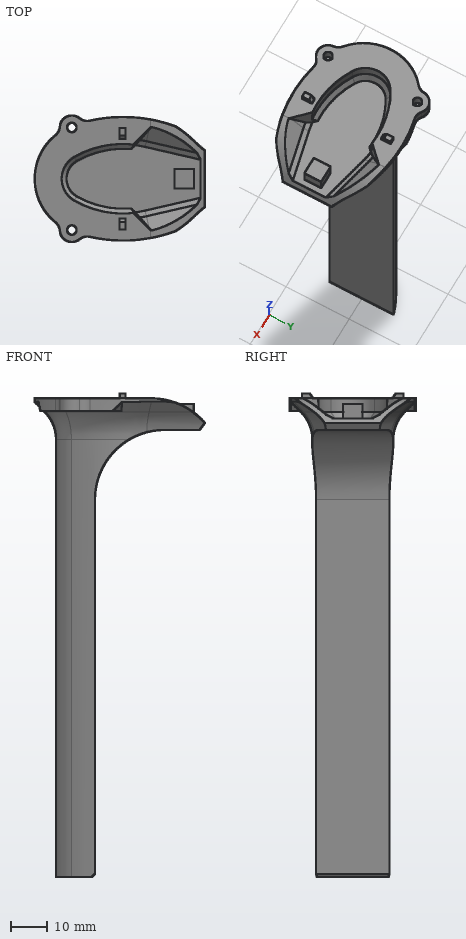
import cadquery as cq
import math

spout_tip_x = 47.0
far = 80.0
outline_end_x = 53.4

crown_x = 24.4

column_nose_x = 5.9
column_nose_radius = 8.5
column_crown_half_width = 11.2
column_taper_angle = 13.0
column_back_x = 16.7
stem_edge_chamfer = 1.0

flange_top_z = 132.0
flange_bottom_z = 128.5
flange_nose_radius = 15.5
flange_crown_half_width = 17.1
flange_taper_angle = 20.0

ear_x = 10.3
ear_y = 14.1
ear_radius = 3.3
ear_neck_radius = 3.3
screw_hole_diameter = 2.5

flare_start_z = 120.7
flare_radius = 10.7
flare_end_z = 128.2
flare_slab_thickness = 1.3

throat_centre_x = 35.8
throat_radius = throat_centre_x - column_back_x
spout_bottom_z = 123.3
spout_lip_x = 45.5
brow_start_x = 32.0
brow_radius = 19.7

basin_floor_z = 126.5
basin_wall = 1.6
basin_chamfer_width = 1.3
basin_chamfer_top_z = 128.2
spout_floor_inset = 1.7
spout_bevel_inset = 0.1
spout_bevel_z = 127.4
spout_rim_offset = 4.0

nose_window_apex_x = 3.9
nose_window_slope = 3.0
nose_window_lean = -0.4
side_window_corner_x = 21.3
side_window_lean = 1.1
basin_corner_x = 27.9
basin_corner_y = 9.5
basin_corner_lean = -0.1

tab_x = 24.3
tab_length = 1.6
tab_top_z = 133.4
tab_outer_y = 14.0
tab_inner_y = 11.0
tab_ramp = 1.0
block_x = 41.2
block_side = 5.3
block_top_z = 130.5


def egg_wire(z, nose_x, nose_radius, crown_x, crown_half, taper_angle, offset=0.0):
    """Egg outline at height z: nose arc, two tangent flank arcs, straight tapering sides."""
    nose_centre_x = nose_x + nose_radius
    run = crown_x - nose_centre_x
    flank_radius = (run**2 + crown_half**2 - nose_radius**2) / (2 * (crown_half - nose_radius))
    flank_centre_y = crown_half - flank_radius
    grown_radius = flank_radius + offset

    def flank_point(angle):
        return (crown_x + grown_radius * math.sin(angle), flank_centre_y + grown_radius * math.cos(angle))

    taper = math.radians(taper_angle)
    join_angle = -math.atan2(run, -flank_centre_y)
    join = flank_point(join_angle)
    middle = flank_point((join_angle + taper) / 2)
    shoulder = flank_point(taper)
    end_y = shoulder[1] - (outline_end_x - shoulder[0]) * math.tan(taper)

    def mirrored(point):
        return (point[0], -point[1])

    return (
        cq.Workplane("XY", origin=(0, 0, z))
        .moveTo(*mirrored(join))
        .threePointArc((nose_x - offset, 0), join)
        .threePointArc(middle, shoulder)
        .lineTo(outline_end_x, end_y)
        .lineTo(outline_end_x, -end_y)
        .lineTo(*mirrored(shoulder))
        .threePointArc(mirrored(middle), mirrored(join))
        .close()
    )


def column_wire(z, offset=0.0):
    return egg_wire(z, column_nose_x, column_nose_radius, crown_x,
                    column_crown_half_width, column_taper_angle, offset)


def flange_wire(z):
    return egg_wire(z, 0.0, flange_nose_radius, crown_x,
                    flange_crown_half_width, flange_taper_angle)


def column_loft(z_low, offset_low, z_high, offset_high):
    """Solid with sloping sides between two offsets of the column outline."""
    low = column_wire(z_low, offset_low).wires().val()
    high = column_wire(z_high, offset_high).wires().val()
    return cq.Workplane(cq.Solid.makeLoft([low, high], True))


def box(x_low, x_high, half_width, z_low, z_high):
    """Box centred on the X axis."""
    return (
        cq.Workplane("XY", origin=((x_low + x_high) / 2, 0, z_low))
        .rect(x_high - x_low, 2 * half_width)
        .extrude(z_high - z_low)
    )


def leaning_prism(points, z_low, z_high, lean):
    """Prism over a polygon whose section shifts along X by lean per unit of height."""
    shifted = [(x + lean * (z_high - z_low), y) for x, y in points]
    low = cq.Workplane("XY", origin=(0, 0, z_low)).polyline(points).close().wires().val()
    high = cq.Workplane("XY", origin=(0, 0, z_high)).polyline(shifted).close().wires().val()
    return cq.Workplane(cq.Solid.makeLoft([low, high], True))


def build_core():
    """Column with its concave flare and the 45 degree cone that carries it on to the flange top."""
    flare_slab_z = flare_start_z + flare_radius
    column = column_wire(0).extrude(flare_slab_z)
    slab = box(-far, far, far, flare_slab_z, flare_slab_z + flare_slab_thickness)
    flared = column.union(slab)
    flared = flared.faces("<Z[1]").edges("not(<X or >X or <Y or >Y)").fillet(flare_radius)
    flared = flared.intersect(box(-far, far, far, 0, flare_end_z))

    flare_height = flare_end_z - flare_start_z
    flare_end_offset = flare_radius - math.sqrt(flare_radius**2 - flare_height**2)
    rise = flange_top_z - flare_end_z
    cone = column_loft(flare_end_z, flare_end_offset, flange_top_z, flare_end_offset + rise)
    return flared.union(cone)


def build_flange_prism():
    """Flange outline with its two blended screw ears, over the full height of the part."""
    prism = flange_wire(0).extrude(flange_top_z)
    ears = (
        cq.Workplane("XY")
        .pushPoints([(ear_x, ear_y), (ear_x, -ear_y)])
        .circle(ear_radius)
        .extrude(flange_top_z)
    )
    ear_zone = cq.selectors.BoxSelector((0, -far, 0), (ear_x + 2 * ear_radius, far, flange_top_z))
    return prism.union(ears).edges("|Z").edges(ear_zone).fillet(ear_neck_radius)


def build_rim_slab():
    """Flange slab with windows in the nose and both flanks that leave the cone exposed."""
    slab = box(-far, far, far, flange_bottom_z, flange_top_z)

    nose_window_reach = nose_window_apex_x + far
    half_width = nose_window_slope * nose_window_reach
    nose_window = [(-far, -half_width), (nose_window_apex_x, 0), (-far, half_width)]
    slab = slab.cut(leaning_prism(nose_window, flange_bottom_z, flange_top_z, nose_window_lean))

    window_end_x = side_window_corner_x + flange_crown_half_width
    side_windows = [(window_end_x, 0), (window_end_x - far, far), (2 * far, far), (2 * far, -far),
                    (window_end_x - far, -far)]
    return slab.cut(leaning_prism(side_windows, flange_bottom_z, flange_top_z, side_window_lean))


def build_side_silhouette():
    """Solid carrying the stem, throat, spout and brow outline across the whole width."""
    throat_centre_z = spout_bottom_z - throat_radius
    brow_centre_z = flange_top_z - brow_radius
    throat_diagonal = throat_radius * math.sqrt(0.5)

    def brow_z(x):
        return brow_centre_z + math.sqrt(brow_radius**2 - (x - brow_start_x) ** 2)

    brow_middle_x = (brow_start_x + spout_tip_x) / 2
    return (
        cq.Workplane("XZ")
        .moveTo(-far, 0)
        .lineTo(column_back_x - stem_edge_chamfer, 0)
        .lineTo(column_back_x, stem_edge_chamfer)
        .lineTo(column_back_x, throat_centre_z)
        .threePointArc(
            (throat_centre_x - throat_diagonal, throat_centre_z + throat_diagonal),
            (throat_centre_x, spout_bottom_z),
        )
        .lineTo(spout_lip_x, spout_bottom_z)
        .lineTo(spout_tip_x, brow_z(spout_tip_x))
        .threePointArc((brow_middle_x, brow_z(brow_middle_x)), (brow_start_x, flange_top_z))
        .lineTo(-far, flange_top_z)
        .close()
        .extrude(far, both=True)
    )


def build_basin():
    """Space sunk into the top: steep walls at the nose, flaring open towards the spout."""
    floor_inset = basin_wall + basin_chamfer_width
    basin = column_loft(basin_floor_z, -floor_inset, basin_chamfer_top_z, -basin_wall)
    walls = column_wire(basin_chamfer_top_z, -basin_wall).extrude(flange_top_z - basin_chamfer_top_z)

    bevel = column_loft(basin_floor_z, -spout_floor_inset, spout_bevel_z, -spout_bevel_inset)
    bank = column_loft(spout_bevel_z, -spout_bevel_inset, flange_top_z, spout_rim_offset)
    apex_x = basin_corner_x - basin_corner_y
    opening = [(apex_x, 0), (apex_x + far, far), (apex_x + far, -far)]
    spout = bevel.union(bank).intersect(
        leaning_prism(opening, basin_floor_z, flange_top_z, basin_corner_lean)
    )
    return basin.union(walls).union(spout)


def build_tab(side):
    """Locating tab with a ramp on its inner side."""
    profile = [
        (side * tab_inner_y, flange_top_z),
        (side * (tab_inner_y + tab_ramp), tab_top_z),
        (side * tab_outer_y, tab_top_z),
        (side * tab_outer_y, flange_bottom_z),
        (side * tab_inner_y, flange_bottom_z),
    ]
    tab = cq.Workplane("YZ", origin=(tab_x, 0, 0)).polyline(profile).close()
    return tab.extrude(tab_length / 2, both=True)


result = build_core().union(build_rim_slab())
result = result.intersect(build_flange_prism()).intersect(build_side_silhouette())
result = result.cut(build_basin())

for side in (1, -1):
    screw_hole = (
        cq.Workplane("XY", origin=(ear_x, side * ear_y, 0))
        .circle(screw_hole_diameter / 2)
        .extrude(flange_top_z)
    )
    result = result.cut(screw_hole).union(build_tab(side))

block = box(block_x - block_side / 2, block_x + block_side / 2, block_side / 2, spout_bottom_z, block_top_z)
result = result.union(block)